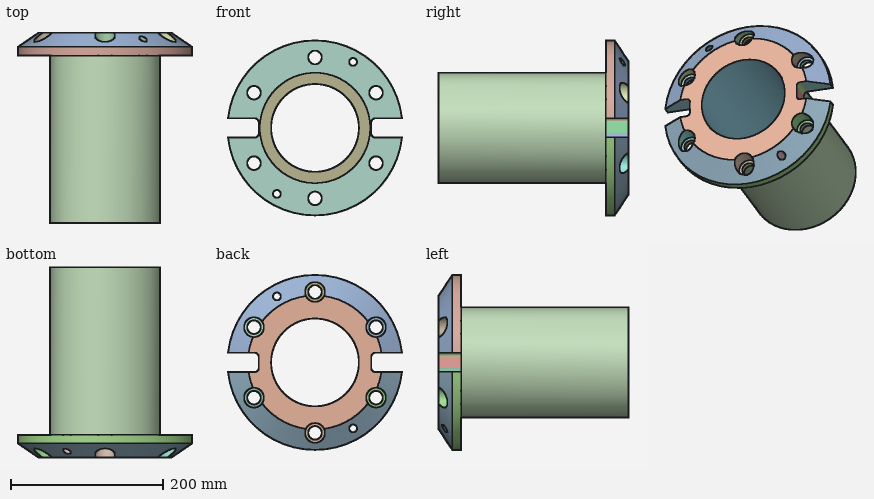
import cadquery as cq
import math


tube_diameter = 145.0
bore_diameter = 115.0
overall_length = 250.0

flange_diameter = 230.0
flange_thickness = 30.0
rim_width = 11.4
end_face_diameter = 176.0
tube_length = overall_length - flange_thickness

bolt_count = 6
bolt_circle_diameter = 185.0
bolt_hole_diameter = 17.5
bolt_first_angle = 30.0
counterbore_diameter = 26.0
counterbore_depth = 22.0

pin_count = 2
pin_circle_diameter = 200.0
pin_hole_diameter = 10.0
pin_first_angle = 60.0

slot_width = 25.0
slot_floor_spacing = 148.0
slot_corner_radius = 5.0


def cylinder_along_y(diameter, y_start, y_end, x=0.0, z=0.0):
    """Solid cylinder parallel to Y, centred on (x, z)."""
    length = y_end - y_start
    axis_start = cq.Vector(x, y_start, z)
    return cq.Workplane(cq.Solid.makeCylinder(diameter / 2, length, axis_start, cq.Vector(0, 1, 0)))


def circle_points(count, circle_diameter, first_angle):
    """Evenly spaced (x, z) points on a circle, angles measured from +X toward +Z."""
    radius = circle_diameter / 2
    angles = [math.radians(first_angle + i * 360.0 / count) for i in range(count)]
    return [(radius * math.cos(angle), radius * math.sin(angle)) for angle in angles]


def make_body():
    """Tube and cone-backed flange, revolved about Y."""
    bore_radius = bore_diameter / 2
    tube_radius = tube_diameter / 2
    flange_radius = flange_diameter / 2
    half_profile = [
        (bore_radius, -tube_length),
        (tube_radius, -tube_length),
        (tube_radius, 0),
        (flange_radius, 0),
        (flange_radius, rim_width),
        (end_face_diameter / 2, flange_thickness),
        (bore_radius, flange_thickness),
    ]
    return cq.Workplane("XY").polyline(half_profile).close().revolve(360, (0, 0, 0), (0, 1, 0))


def cut_bolt_holes(body):
    """Through holes with flat-bottomed counterbores."""
    counterbore_floor = flange_thickness - counterbore_depth
    for x, z in circle_points(bolt_count, bolt_circle_diameter, bolt_first_angle):
        body = body.cut(cylinder_along_y(bolt_hole_diameter, 0, flange_thickness, x, z))
        body = body.cut(cylinder_along_y(counterbore_diameter, counterbore_floor, flange_thickness, x, z))
    return body


def cut_pin_holes(body):
    """Plain through holes."""
    for x, z in circle_points(pin_count, pin_circle_diameter, pin_first_angle):
        body = body.cut(cylinder_along_y(pin_hole_diameter, 0, flange_thickness, x, z))
    return body


def cut_slots(body):
    """Slots open at the rim, with rounded corners at the inner end."""
    slot_length = (flange_diameter - slot_floor_spacing) / 2
    slot_centre = (flange_diameter + slot_floor_spacing) / 4
    for side in (-1, 1):
        inner_edges = "|Y and >X" if side < 0 else "|Y and <X"
        slot = (
            cq.Workplane("XY")
            .box(slot_length, flange_thickness, slot_width)
            .edges(inner_edges)
            .fillet(slot_corner_radius)
            .translate((side * slot_centre, flange_thickness / 2, 0))
        )
        body = body.cut(slot)
    return body


result = cut_slots(cut_pin_holes(cut_bolt_holes(make_body())))